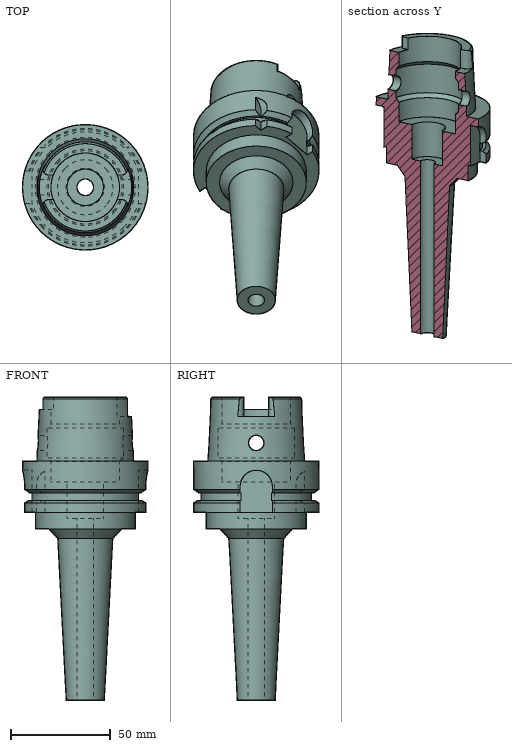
import cadquery as cq
import math

TOTAL_HEIGHT = 152.0
FLANGE_TOP = 120.0
UPPER_RIM_BOTTOM = 105.8
GROOVE_TOP = 104.0
GROOVE_BOTTOM = 100.2
LOWER_RIM_TOP = 99.0
FLANGE_BOTTOM = 94.2
COLLAR_BOTTOM = 86.0
SHANK_TOP = 81.2

TAPER_TOP_RADIUS = 22.8
TAPER_BASE_RADIUS = 24.3
TAPER_TOP_CHAMFER = 0.9
FLANGE_RADIUS = 31.5
GROOVE_RADIUS = 27.8
GROOVE_TOP_LIP_RADIUS = 28.9
GROOVE_BOTTOM_LIP_RADIUS = 29.5
COLLAR_RADIUS = 25.1
NECK_TOP_RADIUS = 18.4
SHANK_TOP_RADIUS = 13.8
SHANK_TIP_RADIUS = 9.5

BORE_RADIUS = 17.2
RECESS_RADIUS = 19.2
RECESS_TOP = 138.6
RECESS_BOTTOM = 121.6
BORE_FLOOR = 109.5
COUNTERBORE_RADIUS = 9.1
COUNTERBORE_FLOOR = 91.2
THROUGH_HOLE_RADIUS = 4.1

NOTCH_WIDTH = 12.3
NOTCH_ROUND_RADIUS = 3.0
NOTCH_ROUND_START = 18.2
NOTCH_DEPTH_NEGATIVE_X = 6.1
NOTCH_DEPTH_POSITIVE_X = 9.7

CROSS_HOLE_DIAMETER = 7.6
CROSS_HOLE_HEIGHT = 129.0

KEYWAY_TOP = 115.4
KEYWAY_RADIUS = 8.0
KEYWAY_FLOOR = 26.8
SIDE_KEYWAY_RADIUS = 7.0
SIDE_KEYWAY_WALL = 19.9
SIDE_KEYWAY_FLOOR = 20.2

CLEARANCE = 3.0
OUTER_REACH = FLANGE_RADIUS + CLEARANCE


def revolve_profile(points):
    """Turn a closed (radius, height) outline about the Z axis."""
    return cq.Workplane("XZ").polyline(points).close().revolve(360, (0, 0), (0, 1))


def turned_body():
    return revolve_profile([
        (0, 0),
        (SHANK_TIP_RADIUS, 0),
        (SHANK_TOP_RADIUS, SHANK_TOP),
        (NECK_TOP_RADIUS, COLLAR_BOTTOM),
        (COLLAR_RADIUS, COLLAR_BOTTOM),
        (COLLAR_RADIUS, FLANGE_BOTTOM),
        (FLANGE_RADIUS, FLANGE_BOTTOM),
        (FLANGE_RADIUS, LOWER_RIM_TOP),
        (GROOVE_BOTTOM_LIP_RADIUS, GROOVE_BOTTOM),
        (GROOVE_RADIUS, GROOVE_BOTTOM),
        (GROOVE_RADIUS, GROOVE_TOP),
        (GROOVE_TOP_LIP_RADIUS, GROOVE_TOP),
        (FLANGE_RADIUS, UPPER_RIM_BOTTOM),
        (FLANGE_RADIUS, FLANGE_TOP),
        (TAPER_BASE_RADIUS, FLANGE_TOP),
        (TAPER_TOP_RADIUS, TOTAL_HEIGHT - TAPER_TOP_CHAMFER),
        (TAPER_TOP_RADIUS - TAPER_TOP_CHAMFER, TOTAL_HEIGHT),
        (0, TOTAL_HEIGHT),
    ])


def stepped_bore():
    recess_step = RECESS_RADIUS - BORE_RADIUS
    return revolve_profile([
        (0, -CLEARANCE),
        (THROUGH_HOLE_RADIUS, -CLEARANCE),
        (THROUGH_HOLE_RADIUS, COUNTERBORE_FLOOR),
        (COUNTERBORE_RADIUS, COUNTERBORE_FLOOR),
        (COUNTERBORE_RADIUS, BORE_FLOOR),
        (BORE_RADIUS, BORE_FLOOR),
        (BORE_RADIUS, RECESS_BOTTOM - recess_step),
        (RECESS_RADIUS, RECESS_BOTTOM),
        (RECESS_RADIUS, RECESS_TOP - recess_step),
        (BORE_RADIUS, RECESS_TOP),
        (BORE_RADIUS, TOTAL_HEIGHT + CLEARANCE),
        (0, TOTAL_HEIGHT + CLEARANCE),
    ])


def drive_notch(side, depth):
    """Notch open to +X (side = 1) or -X (side = -1), rounded at its outer corners."""
    half_width = NOTCH_WIDTH / 2
    round_end_x = NOTCH_ROUND_START + NOTCH_ROUND_RADIUS
    round_end_y = half_width + NOTCH_ROUND_RADIUS
    arc_mid_x = NOTCH_ROUND_START + NOTCH_ROUND_RADIUS * math.sin(math.pi / 4)
    arc_mid_y = round_end_y - NOTCH_ROUND_RADIUS * math.cos(math.pi / 4)
    return (
        cq.Workplane("XY", origin=(0, 0, TOTAL_HEIGHT - depth))
        .moveTo(0, -half_width)
        .lineTo(side * NOTCH_ROUND_START, -half_width)
        .threePointArc((side * arc_mid_x, -arc_mid_y), (side * round_end_x, -round_end_y))
        .lineTo(side * OUTER_REACH, -round_end_y)
        .lineTo(side * OUTER_REACH, round_end_y)
        .lineTo(side * round_end_x, round_end_y)
        .threePointArc((side * arc_mid_x, arc_mid_y), (side * NOTCH_ROUND_START, half_width))
        .lineTo(0, half_width)
        .close()
        .extrude(depth + CLEARANCE)
    )


def cross_hole():
    return (
        cq.Workplane("YZ", origin=(0, 0, CROSS_HOLE_HEIGHT))
        .circle(CROSS_HOLE_DIAMETER / 2)
        .extrude(OUTER_REACH, both=True)
    )


def keyway(side, center_y, radius, floor):
    """Round-topped slot along X, open at the flange bottom, from a flat floor outward."""
    return (
        cq.Workplane("YZ", origin=(side * floor, center_y, 0))
        .moveTo(-radius, FLANGE_BOTTOM)
        .lineTo(-radius, KEYWAY_TOP - radius)
        .threePointArc((0, KEYWAY_TOP), (radius, KEYWAY_TOP - radius))
        .lineTo(radius, FLANGE_BOTTOM)
        .close()
        .extrude(side * (OUTER_REACH - floor))
    )


result = turned_body().cut(stepped_bore()).cut(cross_hole())
result = result.cut(drive_notch(-1, NOTCH_DEPTH_NEGATIVE_X))
result = result.cut(drive_notch(1, NOTCH_DEPTH_POSITIVE_X))

for keyway_side in (-1, 1):
    result = result.cut(keyway(keyway_side, 0, KEYWAY_RADIUS, KEYWAY_FLOOR))

side_keyway_center = SIDE_KEYWAY_WALL + SIDE_KEYWAY_RADIUS
result = result.cut(keyway(-1, side_keyway_center, SIDE_KEYWAY_RADIUS, SIDE_KEYWAY_FLOOR))